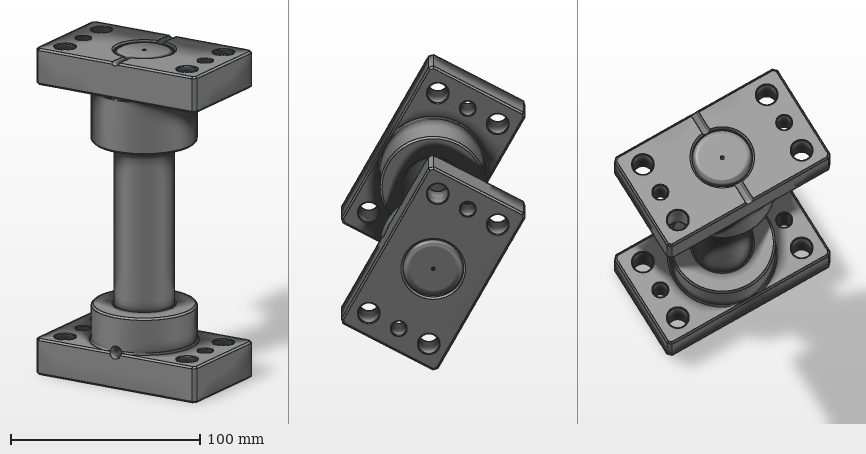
import cadquery as cq
import math

total_height = 180.2

plate_length = 100.0
plate_width = 58.0
plate_thickness = 20.0
corner_chamfer = 2.0
edge_chamfer = 1.01

boss_diameter = 56.0
upper_boss_height = 30.1
lower_boss_height = 20.0
root_fillet = 1.01

pillar_diameter = 32.0
pillar_end_radius = 3.6
pillar_top_recess = 0.4
center_hole_diameter = 2.0
center_hole_depth = 2.0
bore_chamfer = 1.01

hole_spacing_x = 76.0
screw_spacing_y = 36.0
screw_hole_diameter = 11.0
screw_hole_chamfer = 0.5
dowel_hole_diameter = 8.0
dowel_hole_chamfer = 0.5

groove_width = 4.5
groove_depth = 1.8

radial_hole_diameter = 6.8

boss_radius = boss_diameter / 2

def make_plate():
    """Plate resting on Z = 0 with all of its outer edges chamfered."""
    plate = cq.Workplane("XY").box(plate_length, plate_width, plate_thickness, centered=(True, True, False))
    return plate.edges("|Z").chamfer(corner_chamfer).faces("<Z or >Z").chamfer(edge_chamfer)

def make_boss(height):
    """Boss standing on the plate, chamfered at its end and flared by a fillet at its root."""
    boss = cq.Workplane("XY").circle(boss_radius).extrude(height)
    boss = boss.faces(">Z").chamfer(edge_chamfer)
    return boss.union(make_root_flare()).translate((0, 0, plate_thickness))

def make_root_flare():
    """Concave fillet ring around the boss, trimmed where the plate's edge chamfer begins."""
    arc_offset = root_fillet * (1 - math.sqrt(0.5))
    flare = (
        cq.Workplane("XZ")
        .moveTo(0, 0)
        .lineTo(boss_radius + root_fillet, 0)
        .threePointArc((boss_radius + arc_offset, arc_offset), (boss_radius, root_fillet))
        .lineTo(0, root_fillet)
        .close()
        .revolve(360, (0, 0, 0), (0, 1, 0))
    )
    flat_width = plate_width - 2 * edge_chamfer
    plate_flat = cq.Workplane("XY").box(plate_length, flat_width, root_fillet, centered=(True, True, False))
    return flare.intersect(plate_flat)

def make_chamfered_cutter(diameter, chamfer, height):
    """Through-hole cutter from Z = 0 to height that widens at both ends."""
    radius = diameter / 2
    return (
        cq.Workplane("XZ")
        .moveTo(0, 0)
        .lineTo(radius + chamfer, 0)
        .lineTo(radius, chamfer)
        .lineTo(radius, height - chamfer)
        .lineTo(radius + chamfer, height)
        .lineTo(0, height)
        .close()
        .revolve(360, (0, 0, 0), (0, 1, 0))
    )

def make_bushing(boss_height):
    """Flanged bushing: plate at the bottom, boss on top, bored and drilled through."""
    bushing = make_plate().union(make_boss(boss_height))
    bushing = bushing.cut(make_chamfered_cutter(pillar_diameter, bore_chamfer, plate_thickness + boss_height))
    screw_hole = make_chamfered_cutter(screw_hole_diameter, screw_hole_chamfer, plate_thickness)
    dowel_hole = make_chamfered_cutter(dowel_hole_diameter, dowel_hole_chamfer, plate_thickness)
    for x in (-hole_spacing_x / 2, hole_spacing_x / 2):
        bushing = bushing.cut(dowel_hole.translate((x, 0, 0)))
        for y in (-screw_spacing_y / 2, screw_spacing_y / 2):
            bushing = bushing.cut(screw_hole.translate((x, y, 0)))
    return bushing

def make_lower_bushing():
    """Bushing with its boss pointing up and a radial hole at the boss root, open to -Y."""
    radial_hole = (
        cq.Workplane("XZ", origin=(0, 0, plate_thickness))
        .circle(radial_hole_diameter / 2)
        .extrude(plate_width / 2)
    )
    return make_bushing(lower_boss_height).cut(radial_hole)

def make_upper_bushing():
    """Bushing with its boss pointing down and an arc-shaped groove along Y in its top face."""
    bushing = make_bushing(upper_boss_height).rotate((0, 0, 0), (1, 0, 0), 180)
    groove = (
        cq.Workplane("XZ")
        .moveTo(-groove_width / 2, 0)
        .threePointArc((0, -groove_depth), (groove_width / 2, 0))
        .close()
        .extrude(plate_width / 2, both=True)
    )
    return bushing.cut(groove).translate((0, 0, total_height))

def make_pillar():
    """Pillar with rounded ends and a small center hole in each end."""
    pillar_length = total_height - pillar_top_recess
    pillar = cq.Workplane("XY").circle(pillar_diameter / 2).extrude(pillar_length)
    pillar = pillar.faces("<Z or >Z").edges().fillet(pillar_end_radius)
    center_hole = cq.Workplane("XY").circle(center_hole_diameter / 2).extrude(center_hole_depth)
    for z in (0, pillar_length - center_hole_depth):
        pillar = pillar.cut(center_hole.translate((0, 0, z)))
    return pillar

lower_bushing = make_lower_bushing().solids()
upper_bushing = make_upper_bushing().solids()
pillar = make_pillar().solids()

result = cq.Compound.makeCompound([lower_bushing.val(), upper_bushing.val(), pillar.val()])